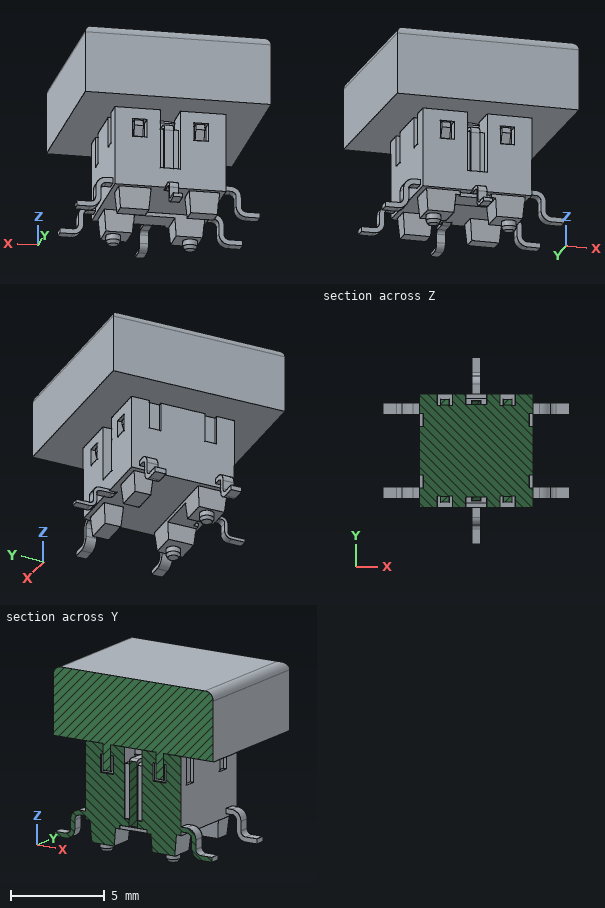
import cadquery as cq

cap_size = 10.2
cap_top = 10.0
cap_bottom = 6.1
cap_edge_radius = 0.5

housing_size = 6.1
housing_half = housing_size / 2
housing_bottom = 1.7
seat_height = 0.5

foot_taper = 5.0
foot_outer = 2.76
foot_inner_x = 1.09
front_foot_inner_y = 1.04
rear_right_foot_inner_x = 1.0
rear_foot_inner_y = 1.62

bridge_height = 0.2
bridge_notch_width = 1.73

peg_diameter = 0.8
peg_x = 2.11
peg_y = -1.86
peg_chamfer_height = 0.19
peg_chamfer_inset = 0.1

lead_tip = 5.02
lead_knee = 4.0
side_lead_thickness = 0.3
side_lead_width = 0.64
side_lead_top = 2.2
side_lead_y = 2.25
lamp_lead_thickness = 0.2
lamp_lead_width = 0.5
lamp_lead_top = 1.8

lens_diameter = 2.7
lens_bottom = 5.92
lens_draft = 15.0
flange_size = 3.0
flange_bottom = 5.47
base_size = 2.9
base_bottom = 5.2
lamp_lead_shoulder = 5.51
lamp_lead_knee = 2.69

channel_width = 1.1
channel_sill = 2.8
channel_back = lamp_lead_knee - lamp_lead_thickness
sill_depth = 0.24
well_floor = 2.14

latch_x = 1.68
window_width = 0.8
window_bottom = 4.5
window_top = 5.5
latch_width = 0.49
latch_bottom = 4.62
latch_slope_top = 5.2
latch_slope_run = 0.2
latch_face = 2.85
latch_back = 2.44

groove_width = 0.68
groove_y = 1.65
groove_bottom = 4.4
groove_depth = 0.2


def box(x_range, y_range, z_range):
    """Block between the two limits given for each axis."""
    sizes = [high - low for low, high in (x_range, y_range, z_range)]
    return cq.Workplane("XY").box(*sizes, centered=False).translate((x_range[0], y_range[0], z_range[0]))


def both_ways(width):
    return (-width / 2, width / 2)


def half_turned(body):
    return body.rotate((0, 0, 0), (0, 0, 1), 180)


def outward_sketch(x_centre, width):
    """Sketch of (distance toward -Y, height) whose extrusion by `width` is centred on x_centre."""
    origin = (x_centre + width / 2, 0, 0)
    return cq.Workplane(cq.Plane(origin=origin, xDir=(0, -1, 0), normal=(-1, 0, 0)))


def gull_lead(root, knee, tip, top, sole, thickness, width, x_centre=0.0):
    """Strip toward -Y: level at the top, a bend down at the knee, a bend back to level on its sole."""
    inner_radius = thickness
    outer_radius = 2 * thickness
    back = knee - thickness
    return (
        outward_sketch(x_centre, width)
        .moveTo(root, top)
        .lineTo(knee - outer_radius, top)
        .radiusArc((knee, top - outer_radius), outer_radius)
        .lineTo(knee, sole + outer_radius)
        .radiusArc((knee + inner_radius, sole + thickness), -inner_radius)
        .lineTo(tip, sole + thickness)
        .lineTo(tip, sole)
        .lineTo(back + outer_radius, sole)
        .radiusArc((back, sole + outer_radius), outer_radius)
        .lineTo(back, top - outer_radius)
        .radiusArc((back - inner_radius, top - thickness), -inner_radius)
        .lineTo(root, top - thickness)
        .close()
        .extrude(width)
    )


def lamp_lead():
    """Lead from the lamp base down inside the housing and out under its front wall."""
    outlet_sole = lamp_lead_top - lamp_lead_thickness
    inside = gull_lead(
        base_size / 2 - lamp_lead_thickness, lamp_lead_knee, housing_half,
        lamp_lead_shoulder, outlet_sole, lamp_lead_thickness, lamp_lead_width,
    )
    outside = gull_lead(
        housing_half, lead_knee, lead_tip,
        lamp_lead_top, seat_height, lamp_lead_thickness, lamp_lead_width,
    )
    return inside.union(outside)


def make_lamp():
    base = box(both_ways(base_size), both_ways(base_size), (base_bottom, flange_bottom))
    flange = box(both_ways(flange_size), both_ways(flange_size), (flange_bottom, lens_bottom))
    lens = (
        cq.Workplane("XY", origin=(0, 0, lens_bottom))
        .circle(lens_diameter / 2)
        .extrude(cap_bottom - lens_bottom, taper=lens_draft)
    )
    lead = lamp_lead()
    return base.union(flange).union(lens).union(lead).union(half_turned(lead))


def latch_leg(x_centre):
    """Leg under the cap, its lower front face sloping back toward the tip."""
    return (
        outward_sketch(x_centre, latch_width)
        .moveTo(latch_back, cap_bottom)
        .lineTo(latch_face, cap_bottom)
        .lineTo(latch_face, latch_slope_top)
        .lineTo(latch_face - latch_slope_run, latch_bottom)
        .lineTo(latch_back, latch_bottom)
        .close()
        .extrude(latch_width)
    )


def make_cap():
    cap = box(both_ways(cap_size), both_ways(cap_size), (cap_bottom, cap_top))
    cap = cap.faces(">Z").edges().fillet(cap_edge_radius)
    for x_centre in (-latch_x, latch_x):
        leg = latch_leg(x_centre)
        cap = cap.union(leg).union(half_turned(leg))
    return cap


def foot(x_range, y_range, height):
    """Block hanging from the housing underside, tapering toward its sole."""
    width = x_range[1] - x_range[0]
    depth = y_range[1] - y_range[0]
    centre = (sum(x_range) / 2, sum(y_range) / 2, housing_bottom)
    return cq.Workplane("XY", origin=centre).rect(width, depth).extrude(-height, taper=foot_taper)


def feet():
    height = housing_bottom - seat_height
    front_y = (-foot_outer, -front_foot_inner_y)
    rear_y = (rear_foot_inner_y, foot_outer)
    bridge = foot((-foot_outer, foot_outer), front_y, bridge_height)
    notch = box(
        both_ways(bridge_notch_width),
        (-foot_outer, -channel_back),
        (housing_bottom - bridge_height, housing_bottom),
    )
    group = bridge.cut(notch)
    left_x = (-foot_outer, -foot_inner_x)
    front_right_x = (foot_inner_x, foot_outer)
    rear_right_x = (rear_right_foot_inner_x, foot_outer)
    for x_range, y_range in (
        (left_x, front_y),
        (front_right_x, front_y),
        (left_x, rear_y),
        (rear_right_x, rear_y),
    ):
        group = group.union(foot(x_range, y_range, height))
    return group


def peg(x_centre):
    radius = peg_diameter / 2
    return (
        cq.Workplane("XZ", origin=(x_centre, peg_y, 0))
        .polyline([
            (0, 0),
            (radius - peg_chamfer_inset, 0),
            (radius, peg_chamfer_height),
            (radius, seat_height),
            (0, seat_height),
        ])
        .close()
        .revolve(360, (0, 0), (0, 1))
    )


def side_lead(y_centre):
    """Lead leaving the left side of the housing."""
    lead = gull_lead(
        housing_half, lead_knee, lead_tip,
        side_lead_top, seat_height, side_lead_thickness, side_lead_width, -y_centre,
    )
    return lead.rotate((0, 0, 0), (0, 0, 1), -90)


def lead_channel():
    """Front slot open to the cap, with a well behind its sill for the lamp lead."""
    slot = box(both_ways(channel_width), (-housing_half, -channel_back), (channel_sill, cap_bottom))
    over_lead = box(both_ways(channel_width), (-channel_back, 0), (base_bottom, cap_bottom))
    well_front = housing_half - sill_depth
    well = box(both_ways(channel_width), (-well_front, -channel_back), (well_floor, channel_sill))
    return slot.union(over_lead).union(well)


def latch_window(x_centre):
    x_range = (x_centre - window_width / 2, x_centre + window_width / 2)
    return box(x_range, (-housing_half, -latch_back), (window_bottom, window_top))


def side_groove(y_centre):
    y_range = (y_centre - groove_width / 2, y_centre + groove_width / 2)
    return box((-housing_half, groove_depth - housing_half), y_range, (groove_bottom, cap_bottom))


def make_housing(cap, lamp):
    housing = box(both_ways(housing_size), both_ways(housing_size), (housing_bottom, cap_bottom))

    lamp_pocket = box(both_ways(flange_size), both_ways(flange_size), (base_bottom, cap_bottom))
    housing = housing.cut(lamp_pocket)
    openings = [lead_channel()]
    openings += [latch_window(x) for x in (-latch_x, latch_x)]
    openings += [side_groove(y) for y in (-groove_y, groove_y)]
    for opening in openings:
        housing = housing.cut(opening).cut(half_turned(opening))

    housing = housing.union(feet())
    for x_centre in (-peg_x, peg_x):
        housing = housing.union(peg(x_centre))
    for y_centre in (-side_lead_y, side_lead_y):
        lead = side_lead(y_centre)
        housing = housing.union(lead).union(half_turned(lead))

    return housing.cut(cap).cut(lamp)


cap = make_cap()
lamp = make_lamp()
housing = make_housing(cap, lamp)

result = cq.Compound.makeCompound([body.solids().val() for body in (cap, housing, lamp)])